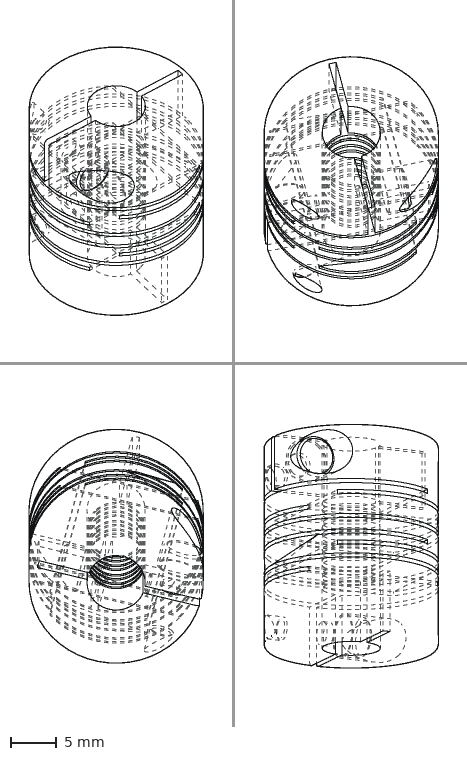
import cadquery as cq


LENGTH = 23.0
DIAMETER = 19.1
BORE_DIAMETER = 6.35
RIM_FILLET = 0.5

SLOT_WIDTH = 0.45
SLOT_REACH = 5.47
SLOTS_CENTRE = 11.75
GROUP_SPACING = 5.68
PAIR_SPACING = 2.7
SLOT_SPACING = 1.25

FROM_MINUS_Y = 0
FROM_PLUS_X = 90
FROM_PLUS_Y = 180
FROM_MINUS_X = 270
SLOT_SIDES = [
    FROM_MINUS_Y, FROM_PLUS_Y, FROM_MINUS_X, FROM_PLUS_X,
    FROM_MINUS_Y, FROM_PLUS_Y, FROM_PLUS_X, FROM_MINUS_X,
]

SLIT_WIDTH = 0.8
SLIT_REACH = 8.79
TOP_SLIT_DEPTH = 6.32
BOTTOM_SLIT_DEPTH = 6.78

SCREW_OFFSET = 6.5
SCREW_INSET = 3.08
SCREW_DIAMETER = 2.6
SCREW_TIP = -5.45
TIP_CHAMFER = 0.2
HEAD_DIAMETER = 4.5
HEAD_HEIGHT = 2.5
HEAD_TOP = 4.67
HEAD_CHAMFER = 0.28
COUNTERBORE_DIAMETER = 4.92
HEAD_SEAT = HEAD_TOP - HEAD_HEIGHT


def rod(diameter, start, end):
    """Cylinder along X on the clamp screw axis of the top hub."""
    plane = cq.Plane(
        origin=(start, -SCREW_OFFSET, LENGTH - SCREW_INSET), xDir=(0, 1, 0), normal=(1, 0, 0)
    )
    return cq.Workplane(plane).circle(diameter / 2).extrude(end - start)


def side_cut(width, height, reach, bottom):
    """Block reaching from beyond the -Y side to a wall past the axis."""
    return (
        cq.Workplane("XY", origin=(0, reach, bottom))
        .box(width, 2 * DIAMETER, height, centered=(True, False, False))
        .translate((0, -2 * DIAMETER, 0))
    )


def slot_heights():
    """Centre heights of the flexure slots, top slot first."""
    heights = []
    for group in (0.5, -0.5):
        for pair in (0.5, -0.5):
            for slot in (0.5, -0.5):
                offset = group * GROUP_SPACING + pair * PAIR_SPACING + slot * SLOT_SPACING
                heights.append(SLOTS_CENTRE + offset)
    return heights


def clamp_cut(slit_depth):
    """Slit, screw hole and counterbore of the top hub."""
    slit = side_cut(SLIT_WIDTH, slit_depth, SLIT_REACH, LENGTH - slit_depth)
    hole = rod(SCREW_DIAMETER, -DIAMETER, HEAD_SEAT)
    counterbore = rod(COUNTERBORE_DIAMETER, HEAD_SEAT, DIAMETER)
    return slit.union(hole).union(counterbore)


def clamp_screw():
    """Cap screw of the top hub, with its head toward +X."""
    shank = rod(SCREW_DIAMETER, SCREW_TIP, HEAD_SEAT).faces("<X").chamfer(TIP_CHAMFER)
    head = rod(HEAD_DIAMETER, HEAD_SEAT, HEAD_TOP).faces(">X").chamfer(HEAD_CHAMFER)
    return shank.union(head)


def to_bottom_hub(shape):
    """Half turn about the horizontal X = Y line at mid length, which swaps the hubs."""
    middle = LENGTH / 2
    return shape.rotate((0, 0, middle), (0.23, 0.23, middle), 180)


result = (
    cq.Workplane("XY")
    .circle(DIAMETER / 2)
    .extrude(LENGTH)
    .faces("<Z or >Z")
    .edges()
    .fillet(RIM_FILLET)
    .faces(">Z")
    .workplane()
    .hole(BORE_DIAMETER)
)

for height, side in zip(slot_heights(), SLOT_SIDES):
    slot = side_cut(DIAMETER, SLOT_WIDTH, SLOT_REACH, height - SLOT_WIDTH / 2)
    result = result.cut(slot.rotate((0, 0, 0), (0, 0, 1), side))

result = result.cut(clamp_cut(TOP_SLIT_DEPTH))
result = result.cut(to_bottom_hub(clamp_cut(BOTTOM_SLIT_DEPTH)))

result = result.union(clamp_screw())
result = result.union(to_bottom_hub(clamp_screw()))